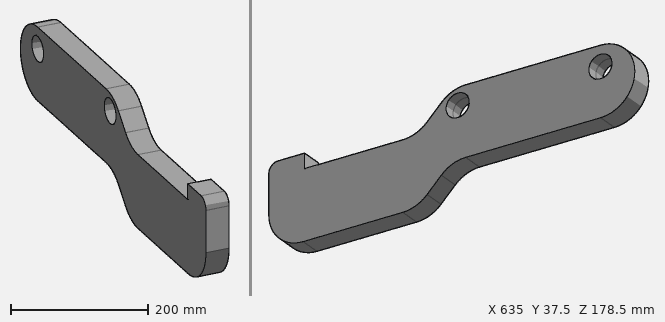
import cadquery as cq
import math

length = 635.0
thickness = 37.5
height = 178.5

arm_depth = 119.0
step_drop = height - arm_depth
step_angle = math.radians(45)
bend_radius = 60.0
step_start = 293.5
end_radius = arm_depth / 2
heel_radius = 60.0

lug_width = 62.0
lug_height = 25.5
lug_radius = 16.5

hole_diameter = 40.0
hole_places = [(60.0, 35.0), (307.5, 30.0)]

left = -length / 2
right = length / 2
top = height / 2
bottom = -height / 2
shoulder = top - step_drop
lug_top = shoulder + lug_height

tangent_length = bend_radius * math.tan(step_angle / 2)
step_left = left + step_start + tangent_length
step_right = step_left + step_drop / math.tan(step_angle)


def corner_edge(x, z):
    """Select the edge running through the thickness at one outline corner."""
    reach = 0.5
    return cq.selectors.BoxSelector(
        (x - reach, -thickness, z - reach), (x + reach, thickness, z + reach)
    )


def cranked_plate():
    outline = [
        (left + end_radius, top),
        (step_left, top),
        (step_right, shoulder),
        (right - lug_width, shoulder),
        (right - lug_width, lug_top),
        (right, lug_top),
        (right, bottom),
        (step_right, bottom),
        (step_left, top - arm_depth),
        (left + end_radius, top - arm_depth),
    ]
    plate = (
        cq.Workplane("XZ")
        .polyline(outline)
        .threePointArc((left, top - end_radius), outline[0])
        .close()
        .extrude(thickness / 2, both=True)
    )
    bends = [
        (step_left, top),
        (step_right, shoulder),
        (step_left, top - arm_depth),
        (step_right, bottom),
    ]
    for x, z in bends:
        plate = plate.edges(corner_edge(x, z)).fillet(bend_radius)
    plate = plate.edges(corner_edge(right, bottom)).fillet(heel_radius)
    return plate.edges(corner_edge(right, lug_top)).fillet(lug_radius)


def hole_cutters():
    return (
        cq.Workplane("XZ")
        .pushPoints([(left + x, top - depth) for x, depth in hole_places])
        .circle(hole_diameter / 2)
        .extrude(thickness, both=True)
    )


result = cranked_plate().cut(hole_cutters())